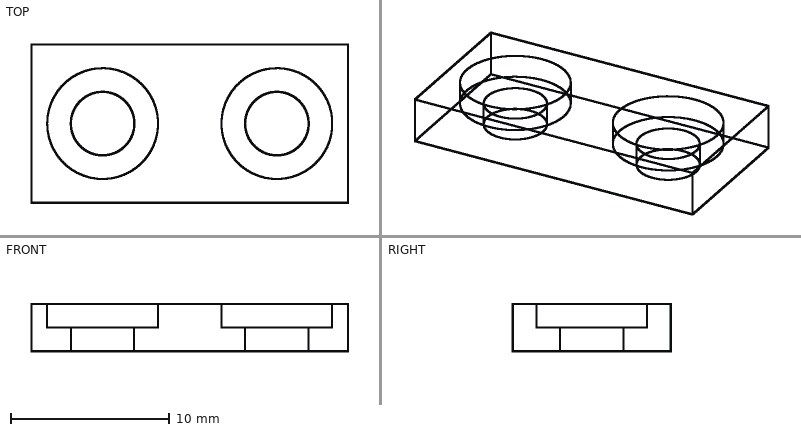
import cadquery as cq

plate_length = 20.0
plate_width = 10.0
plate_thickness = 3.0

hole_spacing = 11.0
hole_diameter = 4.0
counterbore_diameter = 7.0
counterbore_depth = plate_thickness / 2

hole_centers = [(-hole_spacing / 2, 0), (hole_spacing / 2, 0)]


def make_plate():
    """Rectangular plate centred in X and Y, resting on Z = 0."""
    return cq.Workplane("XY").box(
        plate_length, plate_width, plate_thickness, centered=(True, True, False)
    )


def cut_counterbored_holes(plate):
    """Through holes with counterbores sunk from the top face."""
    return (
        plate.faces(">Z")
        .workplane()
        .pushPoints(hole_centers)
        .cboreHole(hole_diameter, counterbore_diameter, counterbore_depth)
    )


result = cut_counterbored_holes(make_plate())